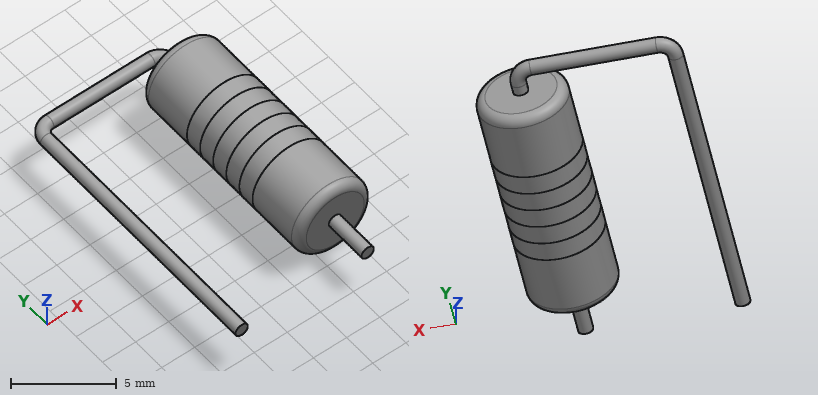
import cadquery as cq

BODY_DIAMETER = 4.5
BODY_LENGTH = 11.9
BODY_EDGE_RADIUS = 0.5

BAND_DIAMETER = 4.51
BAND_WIDTH = 1.0
BAND_COUNT = 3
BAND_PITCH = 2 * BAND_WIDTH

LEAD_DIAMETER = 0.75
LEAD_SPACING = 7.62
LEAD_LENGTH = 2.5
LEAD_STUB = 0.5
BEND_RADIUS = LEAD_DIAMETER

OVERLAP = 1.0

lead_end_y = -LEAD_LENGTH
bend_start_y = BODY_LENGTH + LEAD_STUB
crossbar_y = bend_start_y + BEND_RADIUS


def rod(diameter, start_y, length):
    """Cylinder on the body axis, running toward +Y from start_y."""
    plane = cq.Plane(origin=(0, start_y, 0), xDir=(1, 0, 0), normal=(0, 1, 0))
    return cq.Workplane(plane).circle(diameter / 2).extrude(length)


def make_body():
    return rod(BODY_DIAMETER, 0, BODY_LENGTH).edges("%CIRCLE").fillet(BODY_EDGE_RADIUS)


def add_bands(body):
    """Add evenly spaced bands, centred along the body."""
    bands_length = (BAND_COUNT - 1) * BAND_PITCH + BAND_WIDTH
    first_band_y = (BODY_LENGTH - bands_length) / 2
    for index in range(BAND_COUNT):
        band = rod(BAND_DIAMETER, first_band_y + index * BAND_PITCH, BAND_WIDTH)
        body = body.union(band)
    return body


def make_folded_lead():
    """Round wire leaving the far end, crossing toward -X and returning along -Y."""
    start_y = BODY_LENGTH - OVERLAP
    path = (
        cq.Workplane("XY")
        .moveTo(0, start_y)
        .lineTo(0, bend_start_y)
        .tangentArcPoint((-BEND_RADIUS, crossbar_y), relative=False)
        .lineTo(-LEAD_SPACING + BEND_RADIUS, crossbar_y)
        .tangentArcPoint((-LEAD_SPACING, bend_start_y), relative=False)
        .lineTo(-LEAD_SPACING, lead_end_y)
    )
    plane = cq.Plane(origin=(0, start_y, 0), xDir=(1, 0, 0), normal=(0, 1, 0))
    return cq.Workplane(plane).circle(LEAD_DIAMETER / 2).sweep(path)


near_lead = rod(LEAD_DIAMETER, lead_end_y, LEAD_LENGTH + OVERLAP)

result = add_bands(make_body()).union(near_lead).union(make_folded_lead())